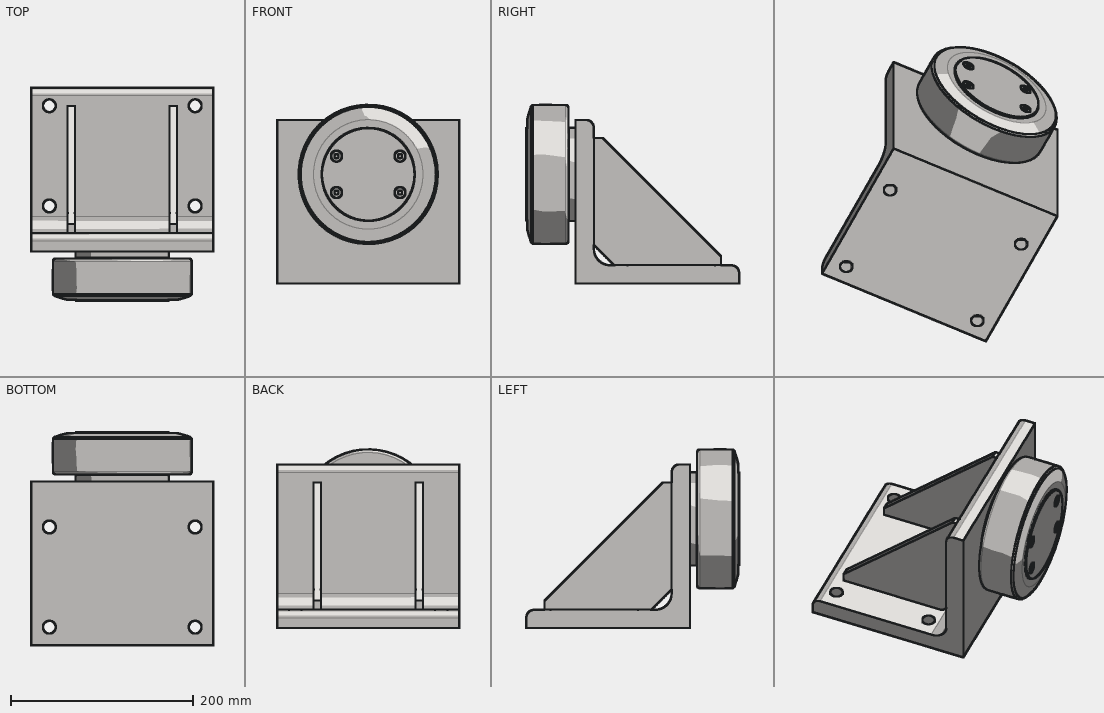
import cadquery as cq

width = 200.0
leg = 180.0
thickness = 20.4
root_radius = 18.0
toe_radius = 9.0

rib_thickness = 8.0
rib_spacing = 112.0
rib_setback = 20.0
rib_land = 9.8
rib_corner_cut = 22.0

hole_diameter = 13.8
hole_spacing_x = 160.0
hole_spacing_y = 110.0
hole_setback = 20.0

axis_height = 120.0
total_height = 196.5
total_depth = 234.0
roller_radius = total_height - axis_height
roller_back = 7.5
roller_edge = 3.5
tread_crown = 0.12
shoulder_radius = roller_radius - tread_crown
roller_front_edge = 46.8
rim_front = 49.0
rim_radius = 74.2
crown_radius = 60.1
crown_bulge = 0.2
hub_diameter = 103.0
hub_neck_diameter = 101.3
hub_length = 6.8
cap_front = total_depth - leg
cap_projection = 1.0
cap_diameter = 101.3
cap_seat_diameter = 102.5
cap_gap_depth = 1.2
roller_face = cap_front - cap_projection

screw_spacing_x = 69.7
screw_spacing_z = 40.0
counterbore_diameter = 12.5
screw_head_diameter = 11.7
counterbore_depth = 4.7
screw_head_recess = 0.5
socket_diameter = 4.7
socket_depth = 2.3


def angle_bracket():
    """L-shaped angle with a rounded root and rounded toes."""
    profile = (
        cq.Workplane("YZ")
        .polyline([
            (0, 0), (leg, 0), (leg, thickness),
            (thickness, thickness), (thickness, leg), (0, leg),
        ])
        .close()
        .extrude(width / 2, both=True)
    )
    root = cq.selectors.NearestToPointSelector((0, thickness, thickness))
    profile = profile.edges(root).fillet(root_radius)
    for toe_point in ((0, leg, thickness), (0, thickness, leg)):
        toe = cq.selectors.NearestToPointSelector(toe_point)
        profile = profile.edges(toe).fillet(toe_radius)
    return profile


def rib(x_center):
    """Triangular gusset with blunt ends and a corner cut clearing the root."""
    far = leg - rib_setback
    return (
        cq.Workplane("YZ", origin=(x_center, 0, 0))
        .polyline([
            (thickness + rib_corner_cut, thickness),
            (far, thickness),
            (far, thickness + rib_land),
            (thickness + rib_land, far),
            (thickness, far),
            (thickness, thickness + rib_corner_cut),
        ])
        .close()
        .extrude(rib_thickness / 2, both=True)
    )


def mounting_holes():
    """Four through holes in the base."""
    y_center = leg - hole_setback - hole_spacing_y / 2
    return (
        cq.Workplane("XY", origin=(0, y_center, 0))
        .rarray(hole_spacing_x, hole_spacing_y, 2, 2)
        .circle(hole_diameter / 2)
        .extrude(thickness)
    )


def front_plane(distance):
    """Plane facing -Y on the roller axis, the given distance ahead of the plate."""
    return cq.Workplane("XZ", origin=(0, -distance, axis_height))


def disc(diameter, start, end):
    """Round disc on the roller axis between two distances ahead of the plate."""
    return front_plane(start).circle(diameter / 2).extrude(end - start)


def roller():
    """Revolved tyre with a rounded back edge, a slightly barrelled tread and a crowned front edge."""
    tread_start = -roller_back - roller_edge
    tread_end = -roller_front_edge
    crown_middle = (
        (rim_radius + crown_radius) / 2 + crown_bulge,
        -(rim_front + roller_face) / 2 - crown_bulge,
    )
    return (
        cq.Workplane("XY")
        .moveTo(0, -roller_back)
        .lineTo(shoulder_radius - roller_edge, -roller_back)
        .radiusArc((shoulder_radius, tread_start), roller_edge)
        .threePointArc(
            (roller_radius, (tread_start + tread_end) / 2),
            (shoulder_radius, tread_end),
        )
        .lineTo(rim_radius, -rim_front)
        .threePointArc(crown_middle, (crown_radius, -roller_face))
        .lineTo(0, -roller_face)
        .close()
        .revolve(360, (0, 0, 0), (0, 1, 0))
        .translate((0, 0, axis_height))
    )


def screws(diameter, start, end):
    """Four discs on the cap screw pattern."""
    return (
        front_plane(start)
        .rarray(screw_spacing_x, screw_spacing_z, 2, 2)
        .circle(diameter / 2)
        .extrude(end - start)
    )


def wheel():
    """Roller with its hub, front cap and recessed cap screws."""
    body = roller()
    body = body.union(disc(hub_diameter, 0, hub_length))
    body = body.union(disc(hub_neck_diameter, hub_length, roller_back))
    body = body.cut(disc(cap_seat_diameter, roller_face - cap_gap_depth, cap_front))
    body = body.union(disc(cap_diameter, roller_face - cap_gap_depth, cap_front))

    counterbore_floor = cap_front - counterbore_depth
    head_top = cap_front - screw_head_recess
    body = body.cut(screws(counterbore_diameter, counterbore_floor, cap_front))
    body = body.union(screws(screw_head_diameter, counterbore_floor, head_top))
    return body.cut(screws(socket_diameter, head_top - socket_depth, head_top))


bracket = angle_bracket().cut(mounting_holes())
for side in (-1, 1):
    bracket = bracket.union(rib(side * rib_spacing / 2))

result = bracket.union(wheel())